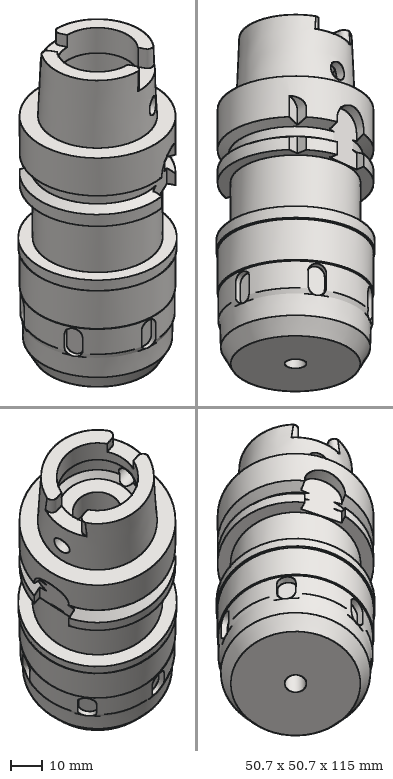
import cadquery as cq
import math

total_height = 115.0
nose_top = 5.8
nut_skirt_top = 13.3
nut_band_bottom = 15.1
nut_top = 25.0
collar_bottom = 39.7
collar_top = 43.7
flange_bottom = 63.9
groove_bottom = 70.3
groove_top = 73.7
groove_chamfer_height = 1.8
flange_top = 89.9
edge_break = 0.3

nose_radius = 20.7
nose_top_radius = 23.9
skirt_radius = 24.2
nut_radius = 24.7
flange_radius = 25.0
collar_radius = 25.36
neck_radius = 20.8
groove_radius = 21.5
shank_base_radius = 19.1
shank_tip_radius = 18.0

mouth_radius = 13.0
mouth_bottom = 105.3
chamber_radius = 15.4
chamber_floor = 94.3
floor_bevel_height = 1.6
socket_radius = 7.9
socket_depth = 11.5
coolant_radius = 3.5

cross_hole_radius = 3.1
cross_hole_height = 97.5

keyway_half_width = 5.3
keyway_flare_radius = 2.0
keyway_flare_start = 14.4
shallow_keyway_depth = 4.6
deep_keyway_depth = 7.4

rim_slot_floor = 21.0
rim_slot_top = 83.0
narrow_slot_width = 12.3
wide_slot_width = 14.0
notch_width = 8.7
notch_center_y = 19.9
notch_floor = 15.6

spanner_slot_count = 6
spanner_slot_width = 6.1
spanner_slot_height = 10.9
spanner_slot_center = 18.6
spanner_slot_floor = 22.4

cutter_reach = 2 * collar_radius


def turned_body():
    """Outside of the holder, revolved about Z."""
    outline = [
        (0, 0),
        (nose_radius, 0),
        (nose_top_radius, nose_top),
        (skirt_radius, nut_skirt_top),
        (nut_radius, nut_band_bottom),
        (nut_radius, nut_top - edge_break),
        (flange_radius, nut_top),
        (flange_radius, collar_bottom - edge_break),
        (collar_radius, collar_bottom),
        (collar_radius, collar_top),
        (neck_radius, collar_top),
        (neck_radius, flange_bottom),
        (flange_radius, flange_bottom),
        (flange_radius, groove_bottom - groove_chamfer_height),
        (groove_radius, groove_bottom),
        (groove_radius, groove_top),
        (flange_radius, groove_top + groove_chamfer_height),
        (flange_radius, flange_top),
        (shank_base_radius, flange_top),
        (shank_tip_radius, total_height),
        (0, total_height),
    ]
    return cq.Workplane("XZ").polyline(outline).close().revolve(360, (0, 0), (0, 1))


def stepped_bore():
    """Mouth, undercut clamping chamber with a bevelled floor, coolant socket and through passage."""
    socket_floor = chamber_floor - socket_depth
    outline = [
        (0, 0),
        (coolant_radius, 0),
        (coolant_radius, socket_floor),
        (socket_radius, socket_floor),
        (socket_radius, chamber_floor),
        (mouth_radius, chamber_floor),
        (chamber_radius, chamber_floor + floor_bevel_height),
        (chamber_radius, mouth_bottom),
        (mouth_radius, mouth_bottom),
        (mouth_radius, total_height),
        (0, total_height),
    ]
    return cq.Workplane("XZ").polyline(outline).close().revolve(360, (0, 0), (0, 1))


def cross_hole():
    """Round hole along X through both shank walls."""
    return (
        cq.Workplane("YZ")
        .center(0, cross_hole_height)
        .circle(cross_hole_radius)
        .extrude(shank_base_radius, both=True)
    )


def keyway(side, depth):
    """Keyway open at the shank tip on the side (+1 or -1) of X, with arcs widening its mouth."""
    start = side * keyway_flare_start
    end = start + side * keyway_flare_radius
    outer = side * cutter_reach
    mid = start + side * keyway_flare_radius * math.sin(math.pi / 4)
    mid_y = keyway_half_width + keyway_flare_radius * (1 - math.cos(math.pi / 4))
    wide_y = keyway_half_width + keyway_flare_radius
    return (
        cq.Workplane("XY", origin=(0, 0, total_height - depth))
        .moveTo(0, -keyway_half_width)
        .lineTo(start, -keyway_half_width)
        .threePointArc((mid, -mid_y), (end, -wide_y))
        .lineTo(end, -shank_base_radius)
        .lineTo(outer, -shank_base_radius)
        .lineTo(outer, shank_base_radius)
        .lineTo(end, shank_base_radius)
        .lineTo(end, wide_y)
        .threePointArc((mid, mid_y), (start, keyway_half_width))
        .lineTo(0, keyway_half_width)
        .close()
        .extrude(depth)
    )


def rim_slot(side, floor, width, center_y=0):
    """Flat-floored, round-topped slot milled along X into the flange from below."""
    radius = width / 2
    arch_center = rim_slot_top - radius
    return (
        cq.Workplane("YZ", origin=(side * floor, 0, 0))
        .moveTo(center_y - radius, flange_bottom)
        .lineTo(center_y - radius, arch_center)
        .threePointArc((center_y, rim_slot_top), (center_y + radius, arch_center))
        .lineTo(center_y + radius, flange_bottom)
        .close()
        .extrude(side * cutter_reach)
    )


def spanner_slots():
    """Upright obround pockets spaced evenly around the nut, the first facing -Y."""
    pocket = (
        cq.Workplane("XZ", origin=(0, -spanner_slot_floor, spanner_slot_center))
        .slot2D(spanner_slot_height, spanner_slot_width, 90)
        .extrude(collar_radius - spanner_slot_floor)
    )
    step = 360 / spanner_slot_count
    pockets = cq.Workplane("XY")
    for index in range(spanner_slot_count):
        pockets = pockets.union(pocket.rotate((0, 0, 0), (0, 0, 1), index * step))
    return pockets


result = (
    turned_body()
    .cut(stepped_bore())
    .cut(cross_hole())
    .cut(keyway(-1, shallow_keyway_depth))
    .cut(keyway(1, deep_keyway_depth))
    .cut(rim_slot(-1, rim_slot_floor, narrow_slot_width))
    .cut(rim_slot(1, rim_slot_floor, wide_slot_width))
    .cut(rim_slot(-1, notch_floor, notch_width, notch_center_y))
    .cut(spanner_slots())
)